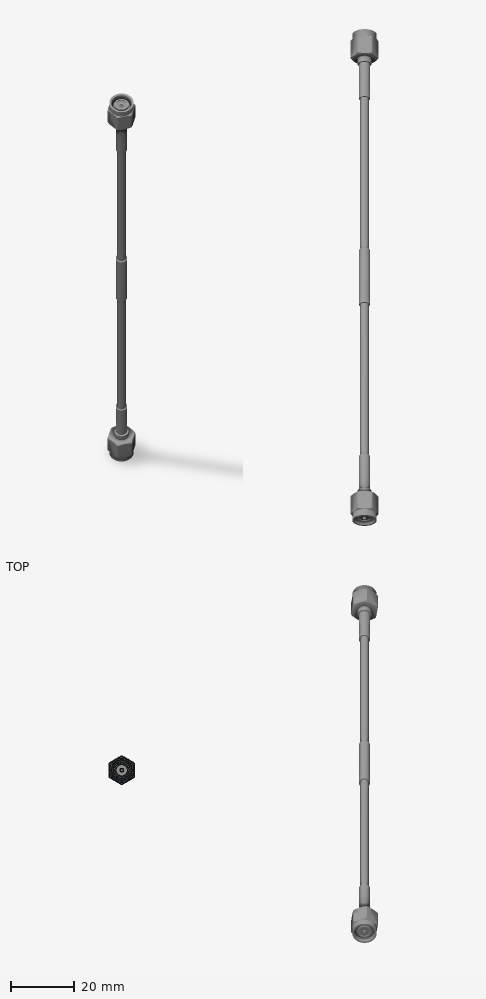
import cadquery as cq

overall_length = 172.5
half_length = overall_length / 2

nut_flats = 8.0
nut_corner_dia = 9.0
nut_length = 8.6
collar_dia = 7.8
collar_length = 2.0
nut_bore_dia = 6.4
nut_bore_depth = 6.0
mouth_chamfer = 0.2
corner_chamfer_run = 0.7
corner_chamfer_height = 0.3

contact_rim_dia = 4.5
contact_rim_recess = 0.7
contact_bore_dia = 3.6
insulator_recess = 1.0
shoulder_dia = 5.3
shoulder_recess = 1.4
pin_dia = 0.93
pin_base_dia = 1.19
pin_base_recess = 0.7
pin_recess = 0.3

neck_dia = 4.5
neck_length = 1.9
stub_dia = 3.5
stub_length = 0.5
ferrule_dia = 3.6
connector_length = 22.8

cable_dia = 2.8
cable_end_depth = 11.2
sleeve_dia = 3.6
sleeve_length = 19.3


def rod(diameter, bottom, top):
    """Cylinder on the Z axis between two heights."""
    return cq.Workplane("XY").workplane(offset=bottom).circle(diameter / 2).extrude(top - bottom)


def make_nut():
    """Hex nut with turned corners, a round front collar and a chamfered front bore."""
    nut_back = half_length - nut_length
    hex_top = half_length - collar_length
    hexagon = (
        cq.Workplane("XY")
        .workplane(offset=nut_back)
        .polygon(6, nut_flats, circumscribed=True)
        .extrude(hex_top - nut_back)
    )
    turned_blank = rod(nut_corner_dia, nut_back, hex_top).edges("%CIRCLE").chamfer(
        corner_chamfer_height, corner_chamfer_run
    )
    collar = rod(collar_dia, hex_top, half_length)
    bore = rod(nut_bore_dia, half_length - nut_bore_depth, half_length)
    nut = hexagon.intersect(turned_blank).union(collar).cut(bore)
    bore_mouth = cq.selectors.RadiusNthSelector(0)
    return nut.faces(">Z").edges(bore_mouth).chamfer(mouth_chamfer)


def make_contacts():
    """Shouldered outer contact around a recessed insulator, with a stepped centre pin."""
    bore_floor = half_length - nut_bore_depth
    rim_top = half_length - contact_rim_recess
    insulator_top = half_length - insulator_recess
    rim = rod(contact_rim_dia, bore_floor, rim_top)
    recess = rod(contact_bore_dia, insulator_top, rim_top)
    pin = rod(pin_dia, bore_floor, half_length - pin_recess)
    pin_base = rod(pin_base_dia, bore_floor, half_length - pin_base_recess)
    shoulder = rod(shoulder_dia, bore_floor, half_length - shoulder_recess)
    return shoulder.union(rim).cut(recess).union(pin_base).union(pin)


def make_rear():
    """Neck, short stub and crimp ferrule behind the nut."""
    neck_top = half_length - nut_length
    neck_bottom = neck_top - neck_length
    neck = rod(neck_dia, neck_bottom, neck_top)
    stub_bottom = neck_bottom - stub_length
    stub = rod(stub_dia, stub_bottom, neck_bottom)
    ferrule = rod(ferrule_dia, half_length - connector_length, stub_bottom)
    return neck.union(stub).union(ferrule)


def make_connector():
    """Upper connector, with a blind socket for the cable end."""
    socket = rod(cable_dia, half_length - connector_length, half_length - cable_end_depth)
    return make_nut().union(make_contacts()).union(make_rear()).cut(socket)


def make_cable():
    """Plain cable between the floors of the two connector sockets."""
    cable_half = half_length - cable_end_depth
    return rod(cable_dia, -cable_half, cable_half)


def make_sleeve():
    """Tube around the middle of the cable."""
    sleeve_half = sleeve_length / 2
    return rod(sleeve_dia, -sleeve_half, sleeve_half).cut(rod(cable_dia, -sleeve_half, sleeve_half))


cable = make_cable()
sleeve = make_sleeve()
connectors = []
for turn in (0, 180):
    connectors.append(make_connector().rotate((0, 0, 0), (1, 0, 0), turn).val())

result = cq.Compound.makeCompound([cable.val(), sleeve.val(), *connectors])